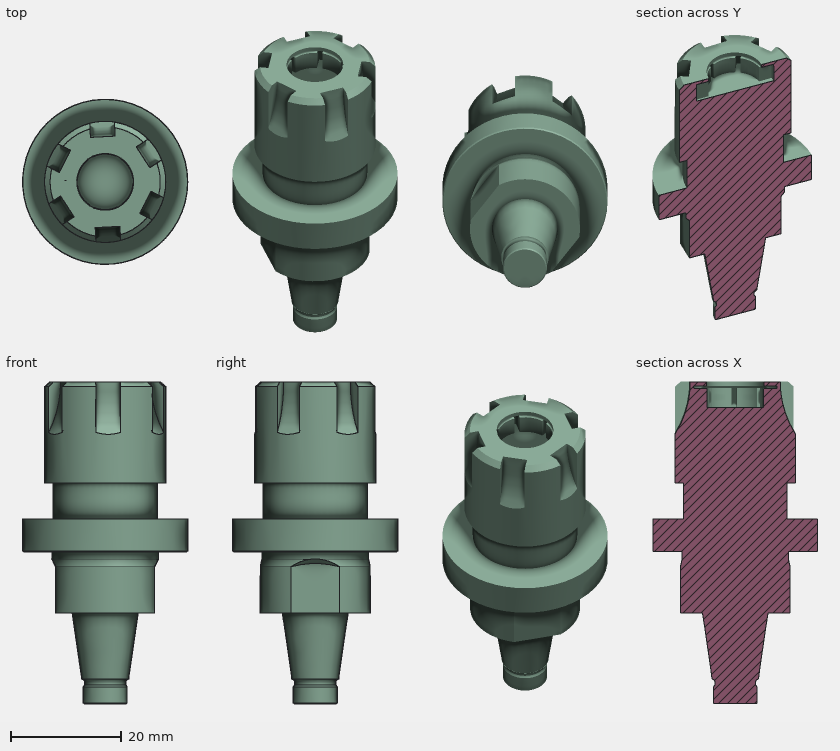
import cadquery as cq


total_height = 58.5
nut_height = 18.4
flange_height = 6.0
flange_top = 33.6
flange_bottom = flange_top - flange_height
collar_top = 26.25
collar_cone_bottom = 25.0
collar_bottom = 16.5
taper_bottom = 4.5
groove_bottom = 3.45
tail_top = 3.1
nut_bottom = total_height - nut_height

nut_radius = 22.0 / 2
body_radius = 19.0 / 2
flange_radius = 30.0 / 2
relief_radius = 19.4 / 2
collar_radius = 20.0 / 2
taper_large_radius = 6.0
taper_ratio = 3.5 / 24
taper_small_radius = taper_large_radius - taper_ratio * (collar_bottom - taper_bottom)
groove_radius = 7.48 / 2
tail_radius = 8.0 / 2

nut_chamfer_width = 1.0
nut_chamfer_height = 0.9
edge_chamfer = 0.2
groove_fillet = 0.55

flat_distance = 18.0 / 2
cutter_radius = 17.0
flat_top = 25.5
cutter_length = 2.0
cutter_flare = 1.2

segment_count = 6
segment_step = 360.0 / segment_count
slot_start = 2.0
notch_start = 33.0
notch_width = 4.5
notch_floor_radius = 8.2
notch_depth = 9.55
notch_margin = 2.0

bore_radius = 5.15
collet_bore_radius = 5.05
lip_depth = 0.8
collet_depth = 1.2
bore_depth = 4.65
chamber_radius = 7.5
slot_width = 1.0


def turned_body():
    """Solid of revolution from the tail to the nut."""
    return (
        cq.Workplane("XZ")
        .moveTo(0, 0)
        .lineTo(tail_radius - edge_chamfer, 0)
        .lineTo(tail_radius, edge_chamfer)
        .lineTo(tail_radius, tail_top)
        .lineTo(groove_radius, groove_bottom)
        .lineTo(groove_radius, taper_bottom - groove_fillet)
        .radiusArc((groove_radius + groove_fillet, taper_bottom), groove_fillet)
        .lineTo(taper_small_radius, taper_bottom)
        .lineTo(taper_large_radius, collar_bottom)
        .lineTo(collar_radius, collar_bottom)
        .lineTo(collar_radius, collar_cone_bottom)
        .lineTo(relief_radius, collar_top)
        .lineTo(relief_radius, flange_bottom)
        .lineTo(flange_radius - edge_chamfer, flange_bottom)
        .lineTo(flange_radius, flange_bottom + edge_chamfer)
        .lineTo(flange_radius, flange_top)
        .lineTo(body_radius, flange_top)
        .lineTo(body_radius, nut_bottom)
        .lineTo(nut_radius, nut_bottom)
        .lineTo(nut_radius, total_height - nut_chamfer_height)
        .lineTo(nut_radius - nut_chamfer_width, total_height)
        .lineTo(0, total_height)
        .close()
        .revolve(360, (0, 0, 0), (0, 1, 0))
    )


def flat_cutter(side):
    """Cone along X that mills one wrench flat; its lower part is trimmed at the collar underside."""
    cone = cq.Solid.makeCone(
        cutter_radius,
        cutter_radius + cutter_flare * cutter_length,
        cutter_length,
        pnt=cq.Vector(side * flat_distance, 0, flat_top - cutter_radius),
        dir=cq.Vector(side, 0, 0),
    )
    keep_size = 4 * cutter_radius
    keep = cq.Workplane("XY", origin=(0, 0, collar_bottom)).box(
        keep_size, keep_size, flange_bottom - collar_bottom, centered=(True, True, False)
    )
    return keep.intersect(cq.Workplane(obj=cone))


def notch_cutter(angle):
    """Spanner notch whose floor is upright at the nut face and curves out to the nut wall."""
    rise = nut_radius - notch_floor_radius
    floor_radius = (notch_depth**2 + rise**2) / (2 * rise)
    outer = nut_radius + notch_margin
    return (
        cq.Workplane("XZ")
        .moveTo(notch_floor_radius, total_height)
        .radiusArc((nut_radius, total_height - notch_depth), -floor_radius)
        .lineTo(outer, total_height - notch_depth)
        .lineTo(outer, total_height)
        .close()
        .extrude(notch_width / 2, both=True)
        .rotate((0, 0, 0), (0, 0, 1), angle)
    )


def collet_cavity():
    """Nut opening, the ring-shaped gap under its lip, and the collet bore."""
    return (
        cq.Workplane("XZ")
        .moveTo(0, total_height)
        .lineTo(bore_radius, total_height)
        .lineTo(bore_radius, total_height - lip_depth)
        .lineTo(chamber_radius, total_height - lip_depth)
        .lineTo(chamber_radius, total_height - collet_depth)
        .lineTo(collet_bore_radius, total_height - collet_depth)
        .lineTo(collet_bore_radius, total_height - bore_depth)
        .lineTo(0, total_height - bore_depth)
        .close()
        .revolve(360, (0, 0, 0), (0, 1, 0))
    )


def slot_cutter(angle):
    """Radial slot through the collet wall."""
    return (
        cq.Workplane("XY", origin=(0, 0, total_height - bore_depth))
        .rect(chamber_radius, slot_width)
        .extrude(bore_depth - collet_depth)
        .translate((chamber_radius / 2, 0, 0))
        .rotate((0, 0, 0), (0, 0, 1), angle)
    )


result = turned_body().cut(collet_cavity())
for side in (-1, 1):
    result = result.cut(flat_cutter(side))
for index in range(segment_count):
    turn = index * segment_step
    result = result.cut(slot_cutter(slot_start + turn))
    result = result.cut(notch_cutter(notch_start + turn))